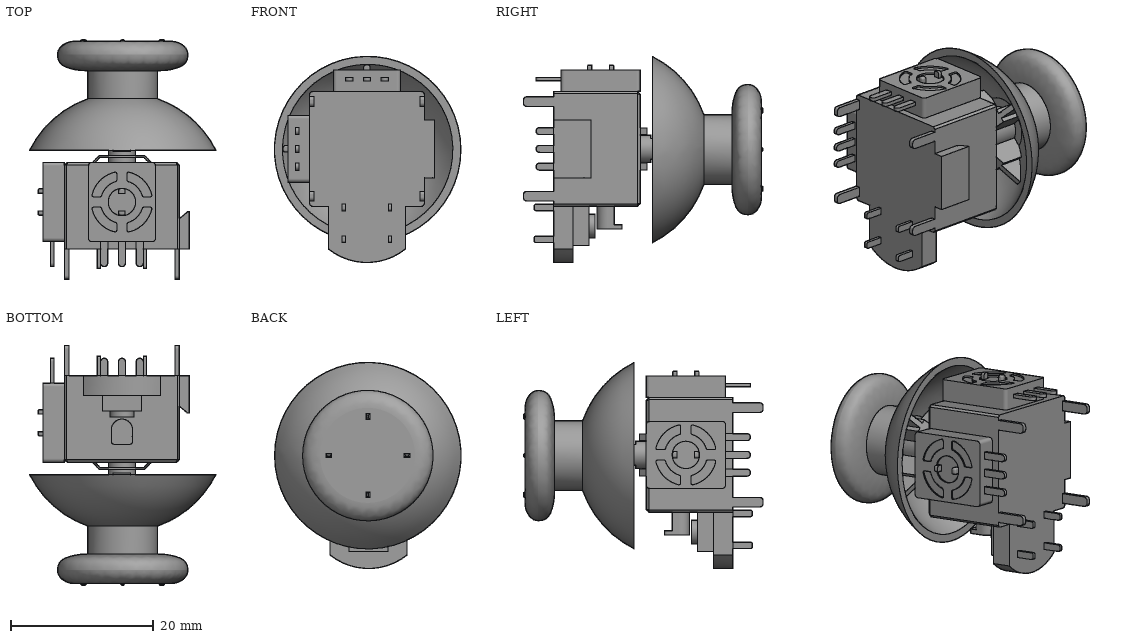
import cadquery as cq
import math


HOUSING_WIDTH = 16.2
HOUSING_DEPTH = 12.23
HOUSING_EDGE_CHAMFER = 0.3
HOUSING_RIM_CHAMFER = 0.4
HALF_HOUSING = HOUSING_WIDTH / 2

POT_WIDTH = 9.45
POT_HEIGHT = 3.05
POT_BASE_Y = 1.05
POT_CORNER_RADIUS = 0.5
POT_CENTRE_Y = (POT_BASE_Y + HOUSING_DEPTH) / 2
POT_RECESS_DEPTH = 0.25
POT_DISC_RADIUS = 1.93
ARC_SLOT_INNER_RADIUS = 3.0
ARC_SLOT_OUTER_RADIUS = 4.33
ARC_SLOT_GAP = 1.45
ARC_SLOT_CORNER_RADIUS = 0.25
TAB_WIDTH = 0.9
TAB_THICKNESS = 0.65
TAB_RISE = 0.68
TAB_TOP_ROUND = 0.3
TAB_OUTER_ROUND = 0.25
TAB_SPACING = 3.1

POT_PIN_PITCH = 2.5
POT_PIN_WIDTH = 1.0
POT_PIN_THICKNESS = 0.5
POT_PIN_END_Y = -2.45
POT_PIN_HEIGHT = 1.72
CORNER_PIN_WIDTH = 1.4
CORNER_PIN_THICKNESS = 0.65
CORNER_PIN_END_Y = -4.25
CORNER_PIN_END_RADIUS = 0.5
CORNER_PIN_Z = 6.65
SWITCH_PIN_WIDTH = 0.95
SWITCH_PIN_THICKNESS = 0.47
SWITCH_PIN_END_Y = -2.75
SWITCH_PIN_END_RADIUS = 0.3
SWITCH_PIN_X = 3.25
SWITCH_PIN_ROWS = (-8.25, -12.75)

WEDGE_WIDTH = 8.15
WEDGE_PROJECTION = 1.4
WEDGE_LIP = 0.25
WEDGE_TOP_Y = 5.27
WEDGE_WALL_Y = 4.33

BOARD_WIDTH = 10.88
BOARD_THICKNESS = 2.77
BOARD_SIDE_END_Z = -14.1
BOARD_TIP_Z = -16.0
SWITCH_SIZE = 5.55
SWITCH_TOP_Y = 5.0
BUTTON_RADIUS = 1.7
BUTTON_TOP_Y = 5.85
LEVER_LENGTH = 3.2
LEVER_TIP_Y = 6.1
LEVER_TIP_RADIUS = 1.5
LEVER_BACK_Y = 8.58
LEVER_FOOT_Y = 9.65
LEVER_FOOT_THICKNESS = 0.65
LEVER_FOOT_CORNER_RADIUS = 0.4

STRIP_THICKNESS = 0.27
STRIP_INNER_Z = 1.95
STRIP_WIDTH = 1.0
STRIP_TOP_Y = 13.18
STRIP_FLAT_LENGTH = 6.42
STRIP_SPAN = 8.25

SHAFT_RADIUS = 1.93
SHAFT_HALF_FLATS = 1.5
SHAFT_FLATS_Y = 13.72
SHAFT_END_Y = 18.6

CAP_X = 0.1
CAP_Z = -0.1
RIM_Y = 13.92
RIM_RADIUS = 13.15
DOME_CENTRE_Y = 7.33
DOME_WALL = 1.0
CEILING_Y = 20.4
STEM_RADIUS = 4.95
KNOB_RADIUS = 9.2
KNOB_BASE_Y = 25.1
KNOB_SEAM_Y = 27.4
KNOB_TOP_Y = 29.3
KNOB_BELLY_RADIUS = 7.45
KNOB_BELLY_Y = 25.45
KNOB_UPPER_ROUND = 2.5
GRIP_PAD_LENGTH = 0.8
GRIP_PAD_WIDTH = 0.55
GRIP_PAD_TOP_Y = 29.53
GRIP_PAD_BEVEL = 0.17
GRIP_PAD_RING_RADIUS = 5.5
GRIP_PAD_COUNT = 4
SOCKET_RADIUS = 2.77
RIB_WIDTH = 2.03
RIB_REACH = 5.5
THIN_RIB_WIDTH = 0.8
THIN_RIB_REACH = 10.8
RIB_AXIS_Y = 13.8
RIB_SLOPE = 0.47
RIB_ANGLES = (45, 135)

DOME_RADIUS = math.hypot(RIM_RADIUS, RIM_Y - DOME_CENTRE_Y)
CAVITY_RADIUS = DOME_RADIUS - DOME_WALL


def box(x_range, y_range, z_range):
    """Axis-aligned box between the given limits."""
    sizes = [high - low for low, high in (x_range, y_range, z_range)]
    corner = (x_range[0], y_range[0], z_range[0])
    return cq.Workplane("XY").box(*sizes, centered=False).translate(corner)


def cylinder_along_y(radius, y_start, y_end):
    """Cylinder on the Y axis from y_start to y_end."""
    disc = cq.Workplane("XZ", origin=(0, y_start, 0)).circle(radius)
    return disc.extrude(y_start - y_end)


def make_pin(width, thickness, start_y, end_y, end_radius):
    """Flat pin, wide in X and thin in Z, pointing to -Y with rounded end corners."""
    pin = box((-width / 2, width / 2), (end_y, start_y), (-thickness / 2, thickness / 2))
    return pin.edges("|Z and <Y").fillet(end_radius)


def make_housing():
    body = box((-HALF_HOUSING, HALF_HOUSING), (0, HOUSING_DEPTH), (-HALF_HOUSING, HALF_HOUSING))
    body = body.edges("|Y").chamfer(HOUSING_EDGE_CHAMFER)
    return body.faces(">Y").edges().chamfer(HOUSING_RIM_CHAMFER)


def make_arc_slots():
    """Four quarter-ring recess cutters centred on the Z axis, standing on z = 0."""
    outer = cq.Workplane("XY").circle(ARC_SLOT_OUTER_RADIUS)
    ring = outer.circle(ARC_SLOT_INNER_RADIUS).extrude(POT_RECESS_DEPTH)
    span = 2 * ARC_SLOT_OUTER_RADIUS
    for length, width in ((span, ARC_SLOT_GAP), (ARC_SLOT_GAP, span)):
        ring = ring.cut(cq.Workplane("XY").rect(length, width).extrude(POT_RECESS_DEPTH))
    return ring.edges("|Z").fillet(ARC_SLOT_CORNER_RADIUS)


def make_pot_pin():
    """Flat pin pointing to -Y with a half-round end."""
    end_radius = POT_PIN_WIDTH / 2
    arc_y = POT_PIN_END_Y + end_radius
    outline = (
        cq.Workplane("XY")
        .moveTo(-end_radius, POT_BASE_Y)
        .lineTo(-end_radius, arc_y)
        .threePointArc((0, POT_PIN_END_Y), (end_radius, arc_y))
        .lineTo(end_radius, POT_BASE_Y)
        .close()
    )
    return outline.extrude(POT_PIN_THICKNESS / 2, both=True)


def make_pot():
    """Potentiometer on the +Z side of the housing, with its recesses, tabs and pins."""
    face_z = HALF_HOUSING + POT_HEIGHT
    floor_z = face_z - POT_RECESS_DEPTH
    half_width = POT_WIDTH / 2
    pot = box((-half_width, half_width), (POT_BASE_Y, HOUSING_DEPTH), (HALF_HOUSING, face_z))
    pot = pot.edges("|Z").fillet(POT_CORNER_RADIUS)

    pot = pot.cut(make_arc_slots().translate((0, POT_CENTRE_Y, floor_z)))
    disc = cq.Workplane("XY").circle(POT_DISC_RADIUS).extrude(POT_RECESS_DEPTH)
    pot = pot.cut(disc.translate((0, POT_CENTRE_Y, floor_z)))

    tab = cq.Workplane("XY").box(
        TAB_WIDTH, TAB_THICKNESS, POT_RECESS_DEPTH + TAB_RISE, centered=(True, True, False)
    )
    tab = tab.edges("|Y and >Z").fillet(TAB_TOP_ROUND)
    tab = tab.faces(">Y").edges("not <Z").fillet(TAB_OUTER_ROUND).translate((0, TAB_SPACING / 2, 0))
    for angle in (0, 180):
        turned_tab = tab.rotate((0, 0, 0), (0, 0, 1), angle)
        pot = pot.union(turned_tab.translate((0, POT_CENTRE_Y, floor_z)))

    pin = make_pot_pin()
    for step in (-1, 0, 1):
        pot = pot.union(pin.translate((step * POT_PIN_PITCH, 0, HALF_HOUSING + POT_PIN_HEIGHT)))
    return pot


def make_corner_pins():
    """Four mounting pins, flush with the housing's X sides."""
    pin = make_pin(CORNER_PIN_WIDTH, CORNER_PIN_THICKNESS, 0, CORNER_PIN_END_Y, CORNER_PIN_END_RADIUS)
    pin = pin.rotate((0, 0, 0), (0, 1, 0), 90)
    pin_x = HALF_HOUSING - CORNER_PIN_THICKNESS / 2
    corners = [(x, 0, z) for x in (-pin_x, pin_x) for z in (-CORNER_PIN_Z, CORNER_PIN_Z)]
    return [pin.translate(corner) for corner in corners]


def make_switch_pins():
    pin = make_pin(SWITCH_PIN_WIDTH, SWITCH_PIN_THICKNESS, 0, SWITCH_PIN_END_Y, SWITCH_PIN_END_RADIUS)
    pin = pin.rotate((0, 0, 0), (0, 1, 0), 90)
    places = [(x, 0, z) for x in (-SWITCH_PIN_X, SWITCH_PIN_X) for z in SWITCH_PIN_ROWS]
    return [pin.translate(place) for place in places]


def make_wedge():
    outer_x = HALF_HOUSING + WEDGE_PROJECTION
    profile = [
        (HALF_HOUSING, 0),
        (outer_x, 0),
        (outer_x, WEDGE_TOP_Y),
        (outer_x - WEDGE_LIP, WEDGE_TOP_Y),
        (HALF_HOUSING, WEDGE_WALL_Y),
    ]
    return cq.Workplane("XY").polyline(profile).close().extrude(WEDGE_WIDTH / 2, both=True)


def make_switch():
    """Round-ended board, switch block and button on the -Z side."""
    half_board = BOARD_WIDTH / 2
    board = (
        cq.Workplane("XZ")
        .moveTo(half_board, -HALF_HOUSING)
        .lineTo(half_board, BOARD_SIDE_END_Z)
        .threePointArc((0, BOARD_TIP_Z), (-half_board, BOARD_SIDE_END_Z))
        .lineTo(-half_board, -HALF_HOUSING)
        .close()
        .extrude(-BOARD_THICKNESS)
    )
    half_switch = SWITCH_SIZE / 2
    block = box(
        (-half_switch, half_switch),
        (BOARD_THICKNESS, SWITCH_TOP_Y),
        (-HALF_HOUSING - SWITCH_SIZE, -HALF_HOUSING),
    )
    button = cylinder_along_y(BUTTON_RADIUS, SWITCH_TOP_Y, BUTTON_TOP_Y)
    return board.union(block).union(button.translate((0, 0, -HALF_HOUSING - half_switch)))


def make_lever():
    """Round-nosed arm out of the -Z side, with a thin foot at its end."""
    nose_y = LEVER_TIP_Y + LEVER_TIP_RADIUS
    end_z = -HALF_HOUSING - LEVER_LENGTH
    arm = (
        cq.Workplane("XY", origin=(0, 0, end_z))
        .moveTo(-LEVER_TIP_RADIUS, LEVER_BACK_Y)
        .lineTo(-LEVER_TIP_RADIUS, nose_y)
        .threePointArc((0, LEVER_TIP_Y), (LEVER_TIP_RADIUS, nose_y))
        .lineTo(LEVER_TIP_RADIUS, LEVER_BACK_Y)
        .close()
        .extrude(LEVER_LENGTH)
    )
    foot = box(
        (-LEVER_TIP_RADIUS, LEVER_TIP_RADIUS),
        (LEVER_BACK_Y, LEVER_FOOT_Y),
        (end_z, end_z + LEVER_FOOT_THICKNESS),
    )
    return arm.union(foot.edges("|Z and >Y").fillet(LEVER_FOOT_CORNER_RADIUS))


def make_strips():
    """Bent strips, each with a raised flat and two sloping legs down to the housing."""
    half_flat = STRIP_FLAT_LENGTH / 2
    half_span = STRIP_SPAN / 2
    leg_angle = math.atan2(STRIP_TOP_Y - HOUSING_DEPTH, half_span - half_flat)
    leg_width = STRIP_THICKNESS / math.sin(leg_angle)
    bend_shift = STRIP_THICKNESS * math.tan(leg_angle / 2)
    right_half = [
        (half_flat, STRIP_TOP_Y),
        (half_span, HOUSING_DEPTH),
        (half_span - leg_width, HOUSING_DEPTH),
        (half_flat - bend_shift, STRIP_TOP_Y - STRIP_THICKNESS),
    ]
    left_half = [(-x, y) for x, y in reversed(right_half)]
    strips = []
    for start_z in (STRIP_INNER_Z, -STRIP_INNER_Z - STRIP_WIDTH):
        outline = cq.Workplane("XY", origin=(0, 0, start_z)).polyline(right_half + left_half)
        strips.append(outline.close().extrude(STRIP_WIDTH))
    return strips


def make_shaft():
    """Round shaft whose upper end has flats on its +Z and -Z sides."""
    lower = cylinder_along_y(SHAFT_RADIUS, HOUSING_DEPTH, SHAFT_FLATS_Y)
    upper = cylinder_along_y(SHAFT_RADIUS, SHAFT_FLATS_Y, SHAFT_END_Y)
    between_flats = box(
        (-SHAFT_RADIUS, SHAFT_RADIUS),
        (SHAFT_FLATS_Y, SHAFT_END_Y),
        (-SHAFT_HALF_FLATS, SHAFT_HALF_FLATS),
    )
    return lower.union(upper.intersect(between_flats))


def make_module():
    pot = make_pot()
    side_pot = pot.rotate((0, 0, 0), (0, 1, 0), -90)
    features = [pot, side_pot, make_wedge(), make_switch(), make_lever(), make_shaft()]
    features += make_corner_pins() + make_switch_pins() + make_strips()
    module = make_housing()
    for feature in features:
        module = module.union(feature)
    return module


def make_cap_shell():
    """Dome, stem and knob turned around the Y axis, hollow under the dome."""
    stem_start_y = DOME_CENTRE_Y + math.sqrt(DOME_RADIUS**2 - STEM_RADIUS**2)
    rim_angle = math.asin((RIM_Y - DOME_CENTRE_Y) / DOME_RADIUS)
    mid_angle = (rim_angle + math.acos(STEM_RADIUS / DOME_RADIUS)) / 2
    dome_middle = (DOME_RADIUS * math.cos(mid_angle), DOME_CENTRE_Y + DOME_RADIUS * math.sin(mid_angle))
    knob_lower_points = [(KNOB_BELLY_RADIUS, KNOB_BELLY_Y), (KNOB_RADIUS, KNOB_SEAM_Y)]
    shell = (
        cq.Workplane("XY")
        .moveTo(0, RIM_Y)
        .lineTo(RIM_RADIUS, RIM_Y)
        .threePointArc(dome_middle, (STEM_RADIUS, stem_start_y))
        .lineTo(STEM_RADIUS, KNOB_BASE_Y)
        .spline(knob_lower_points, tangents=[(1, 0), (0, 1)], includeCurrent=True)
        .ellipseArc(KNOB_UPPER_ROUND, KNOB_TOP_Y - KNOB_SEAM_Y, 0, 90, startAtCurrent=True)
        .lineTo(0, KNOB_TOP_Y)
        .close()
        .revolve(360, (0, 0, 0), (0, 1, 0))
    )
    return shell.cut(make_cavity())


def make_cavity():
    """Space under the dome: a sphere cut off flat at the ceiling."""
    sphere = cq.Workplane("XY").sphere(CAVITY_RADIUS).translate((0, DOME_CENTRE_Y, 0))
    return sphere.intersect(cylinder_along_y(CAVITY_RADIUS, RIM_Y, CEILING_Y))


def make_rib(width, reach):
    """Rib across the cap axis along X, its lower edges rising away from the axis."""
    reach_y = RIB_AXIS_Y + RIB_SLOPE * reach
    profile = [(0, RIB_AXIS_Y), (reach, reach_y), (reach, CEILING_Y), (-reach, CEILING_Y), (-reach, reach_y)]
    return cq.Workplane("XY").polyline(profile).close().extrude(width / 2, both=True)


def make_socket():
    """Central socket with diagonal cross ribs, filling part of the cavity."""
    socket_y = RIB_AXIS_Y + RIB_SLOPE * SOCKET_RADIUS
    ribs = make_rib(RIB_WIDTH, RIB_REACH).union(make_rib(THIN_RIB_WIDTH, THIN_RIB_REACH))
    socket = cylinder_along_y(SOCKET_RADIUS, socket_y, CEILING_Y)
    clearance = cylinder_along_y(SOCKET_RADIUS, 0, socket_y)
    for angle in RIB_ANGLES:
        socket = socket.union(ribs.rotate((0, 0, 0), (0, 1, 0), angle).cut(clearance))
    return socket.intersect(make_cavity())


def make_grip_pads():
    """Small bevelled pads in a ring on the knob's top, each longer in the radial direction."""
    inner_x = GRIP_PAD_RING_RADIUS - GRIP_PAD_LENGTH / 2
    pad = box(
        (inner_x, inner_x + GRIP_PAD_LENGTH),
        (KNOB_TOP_Y, GRIP_PAD_TOP_Y),
        (-GRIP_PAD_WIDTH / 2, GRIP_PAD_WIDTH / 2),
    )
    pad = pad.faces(">Y").chamfer(GRIP_PAD_BEVEL)
    turn = 360 / GRIP_PAD_COUNT
    return [pad.rotate((0, 0, 0), (0, 1, 0), index * turn) for index in range(GRIP_PAD_COUNT)]


def make_cap():
    cap = make_cap_shell().union(make_socket())
    for pad in make_grip_pads():
        cap = cap.union(pad)
    return cap.translate((CAP_X, 0, CAP_Z)).cut(make_shaft())


module = make_module()
cap = make_cap()

result = cq.Compound.makeCompound([module.val(), cap.val()])